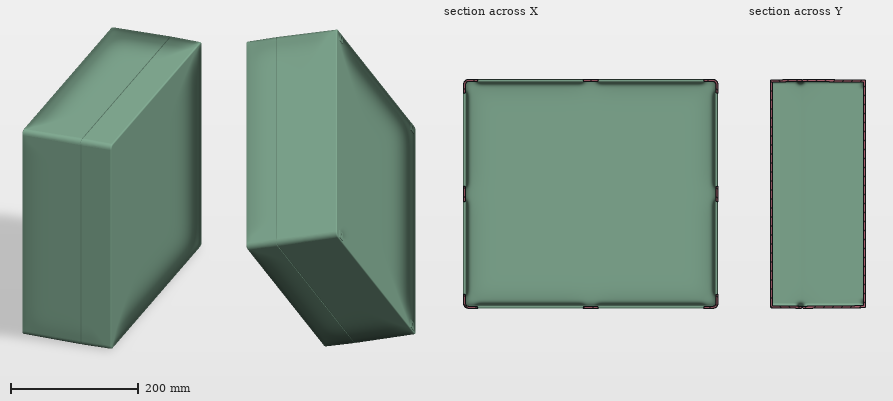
import cadquery as cq

width_y = 400.0
height_z = 360.0
base_depth = 100.0
lid_depth = 50.0
corner_radius = 8.5
wall = 4.0
base_draft_angle = 0.6
lid_draft_angle = 1.0
back_edge_radius = 1.5
front_edge_radius = 2.5

seam_gap = 1.5
lip_inset = 1.0

rebate_depth = 3.0
rebate_skin = 1.5
rebate_end_margin = 22.5
rebate_middle_gap = 24.0

pad_y = 14.0
pad_z = 13.0
pad_height = 1.0
pad_spacing_y = 356.0
pad_spacing_z = 340.0
hole_diameter = 6.5


def rounded_block(x, inset, depth, draft=0.0):
    """Rounded rectangle at x, inset from the seam outline and tapered along +X or -X."""
    outline = (
        cq.Sketch()
        .rect(width_y - 2 * inset, height_z - 2 * inset)
        .vertices()
        .fillet(corner_radius - inset)
    )
    return cq.Workplane("YZ", origin=(x, 0, 0)).placeSketch(outline).extrude(depth, taper=draft)


def at_pads(x):
    """Workplane at x with a point at the middle of each mounting pad."""
    return cq.Workplane("YZ", origin=(x, 0, 0)).rarray(pad_spacing_y, pad_spacing_z, 2, 2)


def make_base():
    rim_x = base_depth - seam_gap
    shell = rounded_block(rim_x, 0, -rim_x, base_draft_angle)
    shell = shell.faces("<X").edges().fillet(back_edge_radius)
    lip = rounded_block(rim_x, lip_inset, seam_gap)
    cavity = rounded_block(base_depth, wall, wall - base_depth, base_draft_angle)
    pads = at_pads(-pad_height).rect(pad_y, pad_z).extrude(pad_height)
    holes = at_pads(-pad_height).circle(hole_diameter / 2).extrude(pad_height + wall)
    return shell.union(lip).cut(cavity).union(pads).cut(holes)


def rebate_pair(side_length, side_distance, along_y):
    """Four pockets, two on each of a pair of opposite sides, that thin the lid rim from inside."""
    across = wall - rebate_skin
    length = side_length / 2 - rebate_end_margin - rebate_middle_gap / 2
    step_along = length + rebate_middle_gap
    step_across = side_distance - 2 * rebate_skin - across
    rim = cq.Workplane("YZ", origin=(base_depth, 0, 0))
    if along_y:
        return rim.rarray(step_along, step_across, 2, 2).rect(length, across).extrude(rebate_depth)
    return rim.rarray(step_across, step_along, 2, 2).rect(across, length).extrude(rebate_depth)


def make_lid():
    shell = rounded_block(base_depth, 0, lid_depth, lid_draft_angle)
    shell = shell.faces(">X").edges().fillet(front_edge_radius)
    cavity = rounded_block(base_depth, wall, lid_depth - wall, lid_draft_angle)
    shell = shell.cut(cavity)
    shell = shell.cut(rebate_pair(width_y, height_z, along_y=True))
    return shell.cut(rebate_pair(height_z, width_y, along_y=False))


base = make_base()
lid = make_lid()

result = cq.Compound.makeCompound([base.solids().val(), lid.solids().val()])